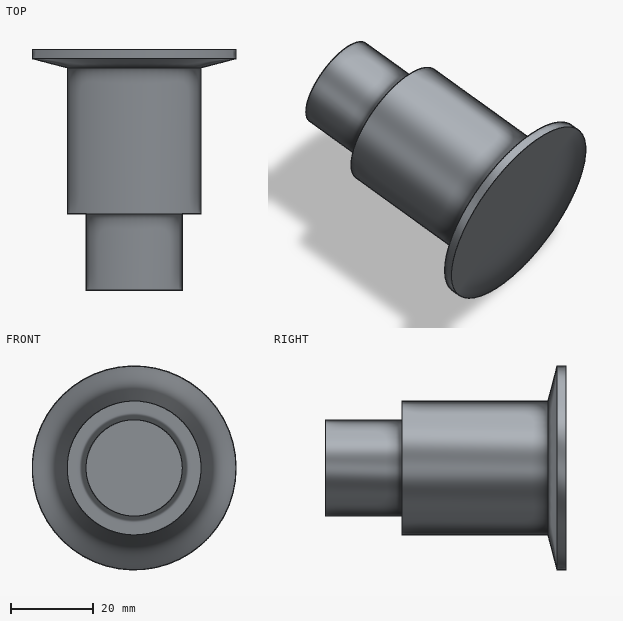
import cadquery as cq

total_length = 58.25
rim_thickness = 2.2
cone_length = 2.2
tip_length = 18.5

flange_diameter = 49.35
body_diameter = 32.4
tip_diameter = 23.3

flange_radius = flange_diameter / 2
body_radius = body_diameter / 2
tip_radius = tip_diameter / 2

flange_face_y = total_length / 2
cone_start_y = flange_face_y - rim_thickness
body_start_y = cone_start_y - cone_length
tip_end_y = -total_length / 2
shoulder_y = tip_end_y + tip_length

half_profile = [
    (0, flange_face_y),
    (flange_radius, flange_face_y),
    (flange_radius, cone_start_y),
    (body_radius, body_start_y),
    (body_radius, shoulder_y),
    (tip_radius, shoulder_y),
    (tip_radius, tip_end_y),
    (0, tip_end_y),
]

result = cq.Workplane("XY").polyline(half_profile).close().revolve(360, (0, 0, 0), (0, 1, 0))